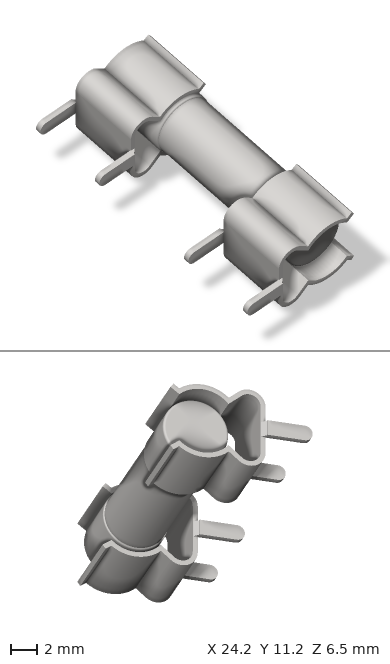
import cadquery as cq
import math

fuse_length = 20.0
tube_diameter = 5.0
cap_diameter = 5.2
cap_length = 5.0
cap_outer_fillet = 0.2
cap_inner_fillet = 0.15

clip_offset = 8.475
clip_width = 6.35
sheet = 0.4
grip_outer_radius = 3.1
wall_y = -5.0
clip_height = 6.5
shoulder_radius = 1.3
front_valley_y = 1.86
rear_valley_y = -2.08
lip_reach = 0.46
lip_angle = 36.0

pin_width = 1.25
pin_thickness = 0.5
pin_span = 7.25
pin_tip_y = -8.6
pin_shelf = 0.1

grip_inner_radius = grip_outer_radius - sheet
shoulder_inner_radius = shoulder_radius - sheet
shoulder_y = wall_y + shoulder_radius
shoulder_z = clip_height / 2 - shoulder_radius
tube_length = fuse_length - 2 * cap_length


def polar(center, radius, angle):
    """Point at a distance and an angle (radians from +Y towards +Z) from a center."""
    return (center[0] + radius * math.cos(angle), center[1] + radius * math.sin(angle))


def distance_along(point, angle):
    """Signed distance of a point from the fuse axis, measured in one direction."""
    return point[0] * math.cos(angle) + point[1] * math.sin(angle)


def make_tube():
    tube = cq.Workplane("YZ", origin=(-tube_length / 2, 0, 0))
    return tube.circle(tube_diameter / 2).extrude(tube_length)


def make_cap(side):
    """End cap on the -X (side = -1) or +X (side = 1) end of the tube."""
    cap = cq.Workplane("YZ", origin=(side * tube_length / 2, 0, 0))
    cap = cap.circle(cap_diameter / 2).extrude(side * cap_length)
    outer_end, inner_end = (">X", "<X") if side > 0 else ("<X", ">X")
    cap = cap.faces(outer_end).edges().fillet(cap_outer_fillet)
    return cap.faces(inner_end).edges().fillet(cap_inner_fillet)


def make_jaw(center_x):
    """Upper half of the clip sheet, from Z = 0 on the back wall to the lip."""
    axis = (0, 0)
    shoulder = (shoulder_y, shoulder_z)

    front_angle = math.acos(front_valley_y / grip_outer_radius)
    rear_angle = math.acos(rear_valley_y / grip_outer_radius)
    front_valley = polar(axis, grip_outer_radius, front_angle)
    rear_valley = polar(axis, grip_outer_radius, rear_angle)

    valley_dy = rear_valley[0] - shoulder_y
    valley_dz = rear_valley[1] - shoulder_z
    leg_angle = math.atan2(valley_dz, valley_dy)
    leg_angle += math.acos(shoulder_radius / math.hypot(valley_dy, valley_dz))
    bend_middle = (leg_angle + math.pi) / 2
    leg_inward = leg_angle + math.pi

    lip_slope = math.radians(lip_angle)
    lip_inward = lip_slope - math.pi / 2
    lip_end = polar(front_valley, lip_reach / math.cos(lip_slope), lip_slope)

    lip_inner_start = polar(front_valley, sheet, lip_inward)
    leg_inner_start = polar(rear_valley, sheet, leg_inward)
    lip_distance = distance_along(lip_inner_start, lip_inward)
    leg_distance = distance_along(leg_inner_start, leg_inward)
    front_inner_angle = lip_inward + math.acos(lip_distance / grip_inner_radius)
    rear_inner_angle = leg_inward - math.acos(leg_distance / grip_inner_radius)

    section = (
        cq.Workplane("YZ", origin=(center_x - clip_width / 2, 0, 0))
        .moveTo(wall_y, 0)
        .lineTo(wall_y, shoulder_z)
        .threePointArc(
            polar(shoulder, shoulder_radius, bend_middle),
            polar(shoulder, shoulder_radius, leg_angle),
        )
        .lineTo(*rear_valley)
        .threePointArc((0, grip_outer_radius), front_valley)
        .lineTo(*lip_end)
        .lineTo(*polar(lip_end, sheet, lip_inward))
        .lineTo(*polar(axis, grip_inner_radius, front_inner_angle))
        .threePointArc((0, grip_inner_radius), polar(axis, grip_inner_radius, rear_inner_angle))
        .lineTo(*polar(shoulder, shoulder_inner_radius, leg_angle))
        .threePointArc(
            polar(shoulder, shoulder_inner_radius, bend_middle),
            (wall_y + sheet, shoulder_z),
        )
        .lineTo(wall_y + sheet, 0)
        .close()
    )
    return section.extrude(clip_width)


def make_pin(center_x, side):
    """Pin on one edge of a clip: sloped at its root, fully rounded at its tip."""
    outer_x = center_x + side * pin_span / 2
    inner_x = outer_x - side * pin_thickness
    root_x = center_x + side * (clip_width / 2 - pin_thickness)
    pin = (
        cq.Workplane("XY", origin=(0, 0, -pin_width / 2))
        .moveTo(inner_x, pin_tip_y)
        .lineTo(outer_x, pin_tip_y)
        .lineTo(outer_x, wall_y)
        .lineTo(outer_x - side * pin_shelf, wall_y)
        .lineTo(inner_x, wall_y + sheet)
        .lineTo(root_x, wall_y + sheet)
        .lineTo(root_x, wall_y)
        .lineTo(inner_x, wall_y)
        .close()
        .extrude(pin_width)
    )
    tip_radius = pin_width / 2
    rounding = (
        cq.Workplane("YZ", origin=(outer_x, 0, 0))
        .center(pin_tip_y + tip_radius, 0)
        .circle(tip_radius)
        .extrude(-side * pin_thickness)
    )
    square_end = (
        cq.Workplane("XY", origin=((outer_x + inner_x) / 2, pin_tip_y, 0))
        .box(pin_thickness, tip_radius, pin_width, centered=(True, False, True))
    )
    return pin.cut(square_end.cut(rounding))


def make_clip(center_x):
    jaw = make_jaw(center_x)
    clip = jaw.union(jaw.mirror("XY"))
    for side in (-1, 1):
        clip = clip.union(make_pin(center_x, side))
    return clip.clean()


glass_tube = make_tube()
end_caps = [make_cap(side) for side in (-1, 1)]
clips = [make_clip(side * clip_offset) for side in (-1, 1)]

bodies = [glass_tube, *end_caps, *clips]
result = cq.Compound.makeCompound([body.val() for body in bodies])